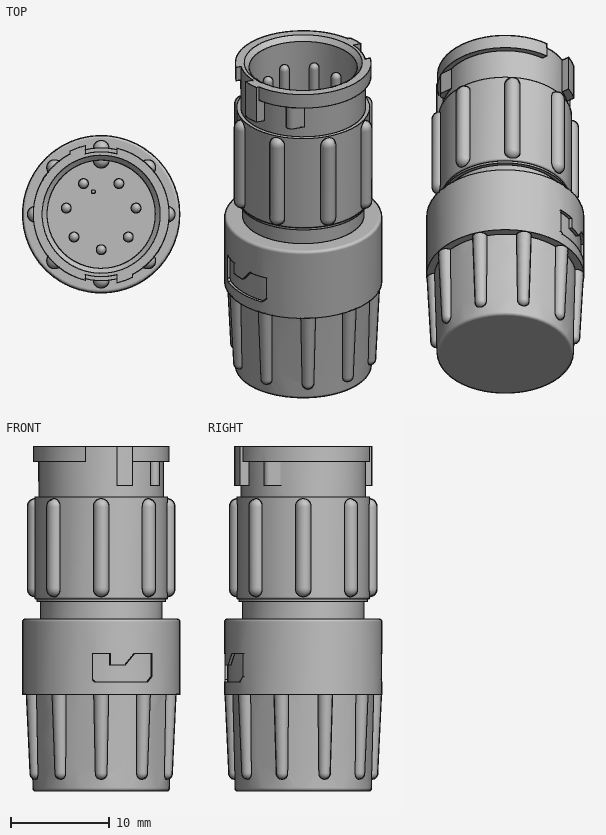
import cadquery as cq
import math

total_height = 35.05
collar_bottom = 9.85
collar_top = 17.5
sleeve_bottom = 19.27
sleeve_top = 29.9

grip_bottom_radius = 6.93
grip_top_radius = 7.2
collar_radius = 8.0
neck_radius = 6.2
sleeve_radius = 6.75
barrel_radius = 6.35
grip_edge_fillet = 0.3
collar_edge_fillet = 0.3

lip_radius = sleeve_radius - 0.2
lip_height = 0.25
lip_fillet = 0.2

bore_radius = 5.5
bore_depth = 9.0
bore_chamfer = 0.5
bore_floor = total_height - bore_depth

flange_radius = 6.9
flange_height = 1.55
flange_gap_width = 3.2
key_height = 4.0
front_key_radius = 7.15
front_key_inner_x = flange_gap_width / 2
front_key_outer_x = 3.17
side_key_outer_x = 5.93
side_key_round = 0.57
side_key_round_y = -3.43

sleeve_rib_count = 8
sleeve_rib_radius = 0.8
sleeve_rib_pitch_radius = 6.7
sleeve_rib_bottom = 20.55
sleeve_rib_top = 28.93

grip_rib_count = 10
grip_rib_top_radius = 0.77
grip_rib_bottom_radius = 0.6
grip_rib_bottom = 1.81
grip_rib_top = collar_bottom + 0.2

pin_radius = 0.5
pin_pitch_radius = 3.6
pin_tip_drop = 1.92
pin_angles = [10, 60, 120, 170, 220, 270, 320]
guide_radius = 0.8
guide_tip_drop = 0.8
pip_radius = 0.2
pip_pitch_radius = 2.42
pip_angle = 109

recess_depth = 0.3
recess_direction = 17
recess_half_width = 3.15
recess_bottom = 11.1
recess_top = 14.0
notch_bottom = 12.8
notch_left = -1.42
notch_right = 0.08
notch_slope_run = 1.05
recess_left_chamfer = 0.25
recess_right_chamfer = 0.55


def cylinder(radius, bottom, top):
    return cq.Workplane("XY").workplane(offset=bottom).circle(radius).extrude(top - bottom)


def box(x_range, y_range, z_range):
    size = [high - low for low, high in (x_range, y_range, z_range)]
    corner = (x_range[0], y_range[0], z_range[0])
    return cq.Workplane("XY").box(*size, centered=False).translate(corner)


def sphere(radius, x, y, z):
    return cq.Workplane("XY").sphere(radius).translate((x, y, z))


def polar(radius, angle):
    return radius * math.cos(math.radians(angle)), radius * math.sin(math.radians(angle))


def half_turn(shape):
    return shape.rotate((0, 0, 0), (0, 0, 1), 180)


def make_grip():
    cone = cq.Solid.makeCone(grip_bottom_radius, grip_top_radius, collar_bottom)
    return cq.Workplane(cone).faces("<Z").edges().fillet(grip_edge_fillet)


def make_collar():
    collar = cylinder(collar_radius, collar_bottom, collar_top)
    return collar.faces(">Z").edges().fillet(collar_edge_fillet)


def make_sleeve():
    sleeve = cylinder(sleeve_radius, sleeve_bottom + lip_height, sleeve_top)
    sleeve = sleeve.faces("<Z").edges().fillet(lip_fillet)
    return sleeve.union(cylinder(lip_radius, sleeve_bottom, sleeve_bottom + lip_height))


def make_flange():
    flange_bottom = total_height - flange_height
    flange = cylinder(flange_radius, flange_bottom, total_height)
    half_gap = flange_gap_width / 2
    gap = box(
        (-half_gap, half_gap),
        (-collar_radius, collar_radius),
        (flange_bottom, total_height),
    )
    return flange.cut(gap)


def make_front_key():
    heights = (total_height - key_height, total_height)
    x_range = (front_key_inner_x, front_key_outer_x)
    blank = box(x_range, (-collar_radius, 0), heights)
    return cylinder(front_key_radius, *heights).intersect(blank)


def make_side_key():
    heights = (total_height - key_height, total_height - flange_height)
    round_x = side_key_outer_x - side_key_round
    flank = cylinder(side_key_round, *heights).translate((round_x, side_key_round_y, 0))
    return flank.union(box((0, side_key_outer_x), (side_key_round_y, 0), heights))


def make_keys():
    keys = make_front_key().union(make_side_key())
    return keys.union(half_turn(keys))


def make_socket():
    bore = cylinder(bore_radius, bore_floor, total_height)
    mouth = cq.Solid.makeCone(
        bore_radius,
        bore_radius + bore_chamfer,
        bore_chamfer,
        pnt=cq.Vector(0, 0, total_height - bore_chamfer),
    )
    return bore.union(cq.Workplane(mouth))


def make_sleeve_rib(angle):
    x, y = polar(sleeve_rib_pitch_radius, angle)
    rib = cylinder(sleeve_rib_radius, sleeve_rib_bottom, sleeve_rib_top).translate((x, y, 0))
    for end_height in (sleeve_rib_bottom, sleeve_rib_top):
        rib = rib.union(sphere(sleeve_rib_radius, x, y, end_height))
    return rib


def make_grip_rib(angle):
    slope = (grip_top_radius - grip_bottom_radius) / collar_bottom
    lower_pitch = grip_bottom_radius + slope * grip_rib_bottom
    upper_pitch = grip_bottom_radius + slope * grip_rib_top
    lower = cq.Vector(*polar(lower_pitch, angle), grip_rib_bottom)
    upper = cq.Vector(*polar(upper_pitch, angle), grip_rib_top)
    axis = upper - lower
    cone = cq.Solid.makeCone(
        grip_rib_bottom_radius, grip_rib_top_radius, axis.Length, pnt=lower, dir=axis
    )
    return cq.Workplane(cone).union(sphere(grip_rib_bottom_radius, *lower.toTuple()))


def make_round_pin(radius, x, y, tip_drop):
    dome_centre = total_height - tip_drop - radius
    pin = cylinder(radius, bore_floor, dome_centre).translate((x, y, 0))
    return pin.union(sphere(radius, x, y, dome_centre))


def make_recess():
    outline = [
        (-recess_half_width, recess_top),
        (notch_left, recess_top),
        (notch_left, notch_bottom),
        (notch_right, notch_bottom),
        (notch_right + notch_slope_run, recess_top),
        (recess_half_width, recess_top),
        (recess_half_width, recess_bottom + recess_right_chamfer),
        (recess_half_width - recess_right_chamfer, recess_bottom),
        (-recess_half_width + recess_left_chamfer, recess_bottom),
        (-recess_half_width, recess_bottom + recess_left_chamfer),
    ]
    cutter = cq.Workplane("XZ").polyline(outline).close().extrude(collar_radius)
    cutter = cutter.cut(cylinder(collar_radius - recess_depth, collar_bottom, collar_top))
    return cutter.rotate((0, 0, 0), (0, 0, 1), recess_direction)


recess = make_recess()
body = make_grip().union(make_collar().cut(recess).cut(half_turn(recess)))
body = body.union(cylinder(neck_radius, collar_top, sleeve_bottom))
body = body.union(make_sleeve())
body = body.union(cylinder(barrel_radius, sleeve_top, total_height))
body = body.union(make_flange()).union(make_keys())

for index in range(sleeve_rib_count):
    body = body.union(make_sleeve_rib(-90 + index * 360 / sleeve_rib_count))
for index in range(grip_rib_count):
    body = body.union(make_grip_rib(-90 + index * 360 / grip_rib_count))

body = body.cut(make_socket())
for pin_angle in pin_angles:
    body = body.union(make_round_pin(pin_radius, *polar(pin_pitch_radius, pin_angle), pin_tip_drop))
body = body.union(make_round_pin(guide_radius, 0, bore_radius, guide_tip_drop))
body = body.union(sphere(pip_radius, *polar(pip_pitch_radius, pip_angle), bore_floor))

result = body